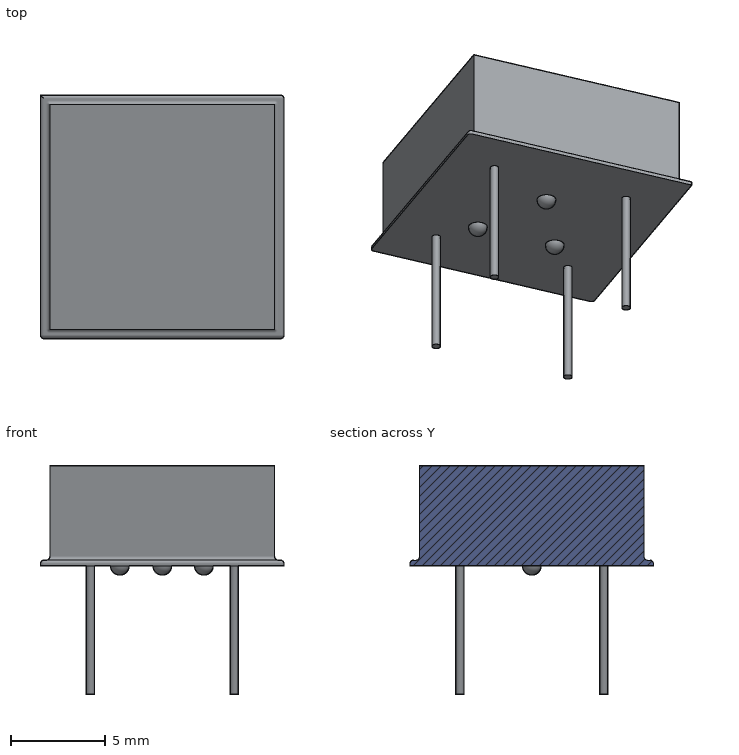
import cadquery as cq
import math

can_side = 11.9
package_height = 5.3

flange_side = 12.9
flange_thickness = 0.3
flange_edge_radius = 0.2
foot_fillet_radius = 0.2

pin_diameter = 0.45
pin_length = 6.8
pin_pitch = 7.62

bead_radius = 0.5
bead_centers = [(-2.25, -2.0), (2.2, -2.0), (0, 2.0)]

square_side_count = 4


def make_flange():
    """Square plate with three rounded corners; the sharp (-X, +Y) corner marks pin 1."""
    plate = cq.Workplane("XY").box(
        flange_side, flange_side, flange_thickness, centered=(True, True, False)
    )
    plate = plate.edges("|Z").edges(">X or <Y").fillet(flange_edge_radius)
    return plate.faces(">Z").edges().fillet(flange_edge_radius)


def make_can():
    """Sharp-edged block standing on the flange."""
    can_height = package_height - flange_thickness
    return cq.Workplane("XY", origin=(0, 0, flange_thickness)).box(
        can_side, can_side, can_height, centered=(True, True, False)
    )


def foot_fillet_profile():
    """Concave cross-section of the foot fillet, drawn at the (+X, -Y) corner of the can."""
    half_side = can_side / 2
    arc_middle = foot_fillet_radius * (1 - math.sqrt(0.5))
    return (
        cq.Workplane("XZ", origin=(half_side, -half_side, flange_thickness))
        .lineTo(foot_fillet_radius, 0)
        .threePointArc((arc_middle, arc_middle), (0, foot_fillet_radius))
        .close()
    )


def make_foot_fillet():
    """Straight fillet along each can side, swept around each sharp can corner."""
    straight = foot_fillet_profile().extrude(-can_side)
    corner = foot_fillet_profile().revolve(90, (0, 0, 0), (0, -1, 0))
    one_side = straight.union(corner)
    fillet = one_side
    for index in range(1, square_side_count):
        angle = index * 360 / square_side_count
        fillet = fillet.union(one_side.rotate((0, 0, 0), (0, 0, 1), angle))
    return fillet


def make_pins():
    """Four round pins hanging below the flange."""
    return (
        cq.Workplane("XY")
        .rect(pin_pitch, pin_pitch, forConstruction=True)
        .vertices()
        .circle(pin_diameter / 2)
        .extrude(-pin_length)
    )


def make_beads():
    """Lower hemispheres with their flat sides on the flange underside."""
    bead = (
        cq.Workplane("XZ")
        .moveTo(0, -bead_radius)
        .radiusArc((bead_radius, 0), -bead_radius)
        .lineTo(0, 0)
        .close()
        .revolve(360, (0, 0, 0), (0, 1, 0))
    )
    beads = cq.Workplane("XY")
    for x, y in bead_centers:
        beads = beads.add(bead.translate((x, y, 0)))
    return beads.combine()


result = make_flange().union(make_can()).union(make_foot_fillet())
result = result.union(make_pins()).union(make_beads())